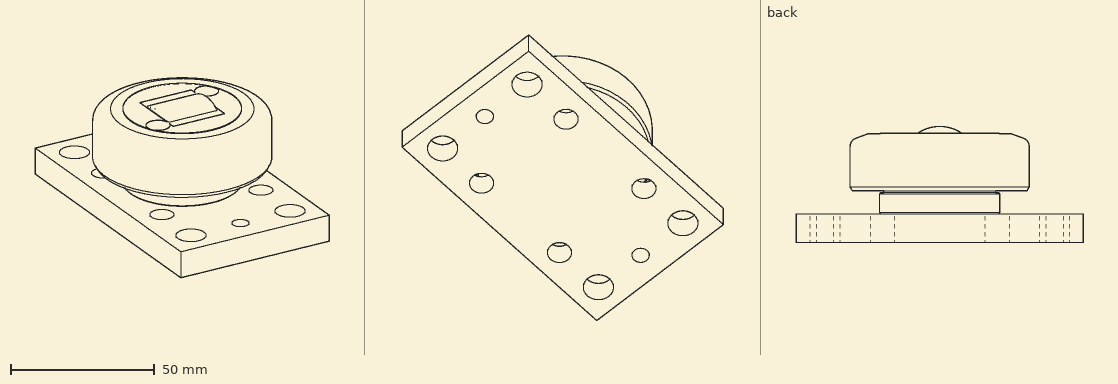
import cadquery as cq
import math

plate_length = 100.0
plate_width = 60.0
plate_thickness = 10.0
hole_spacing_x = 80.0
hole_spacing_y = 40.0
corner_hole_diameter = 10.5
pin_hole_diameter = 6.0
inner_hole_diameter = 8.4
inner_hole_spacing_x = 40.0

collar_diameter = 42.0
collar_top = 17.4
collar_chamfer = 0.4
neck_diameter = 39.0

roller_diameter = 62.5
roller_bottom = 18.0
roller_top = 37.9
roller_bottom_chamfer_height = 1.4
roller_bottom_chamfer_width = 0.8
top_face_radius = 25.0
cone_angle = math.radians(20)
shoulder_radius = 3.1

cap_diameter = 41.4
cap_top = 38.2
recess_depth = 0.1
window_length = 22.9
window_width = 20.8
plug_diameter = 8.4
plug_x = 8.0
plug_y = 14.5

side_roller_radius = 13.5
side_roller_length = 20.2
side_roller_fillet = 0.9
side_roller_top = 40.5


def make_plate():
    plate = cq.Workplane("XY").box(plate_length, plate_width, plate_thickness, centered=(True, True, False))
    hole_groups = [
        (corner_hole_diameter, hole_spacing_x, [-hole_spacing_y / 2, hole_spacing_y / 2]),
        (pin_hole_diameter, hole_spacing_x, [0]),
        (inner_hole_diameter, inner_hole_spacing_x, [-hole_spacing_y / 2, hole_spacing_y / 2]),
    ]
    for diameter, spacing_x, rows in hole_groups:
        centers = [(side * spacing_x / 2, y) for side in (-1, 1) for y in rows]
        plate = plate.faces(">Z").workplane(origin=(0, 0, plate_thickness)).pushPoints(centers).hole(diameter)
    return plate


def make_disc(diameter, bottom, top):
    return cq.Workplane("XY").workplane(offset=bottom).circle(diameter / 2).extrude(top - bottom)


def make_roller():
    radius = roller_diameter / 2
    arc_center_x = radius - shoulder_radius
    cone_end_x = arc_center_x + shoulder_radius * math.sin(cone_angle)
    cone_end_z = roller_top - (cone_end_x - top_face_radius) * math.tan(cone_angle)
    arc_center_z = cone_end_z - shoulder_radius * math.cos(cone_angle)
    mid_angle = (math.pi / 2 - cone_angle) / 2
    arc_middle = (
        arc_center_x + shoulder_radius * math.cos(mid_angle),
        arc_center_z + shoulder_radius * math.sin(mid_angle),
    )
    profile = (
        cq.Workplane("XZ")
        .moveTo(0, roller_bottom)
        .lineTo(radius - roller_bottom_chamfer_width, roller_bottom)
        .lineTo(radius, roller_bottom + roller_bottom_chamfer_height)
        .lineTo(radius, arc_center_z)
        .threePointArc(arc_middle, (cone_end_x, cone_end_z))
        .lineTo(top_face_radius, roller_top)
        .lineTo(0, roller_top)
        .close()
    )
    return profile.revolve(360, (0, 0, 0), (0, 1, 0))


def make_cap():
    cap = make_disc(cap_diameter, roller_top, cap_top)
    recess_floor = cq.Workplane("XY").workplane(offset=cap_top - recess_depth)
    window = recess_floor.rect(window_length, window_width).extrude(recess_depth)
    plug_places = [(-plug_x, plug_y), (plug_x, -plug_y)]
    plugs = recess_floor.pushPoints(plug_places).circle(plug_diameter / 2).extrude(recess_depth)
    return cap.cut(window).cut(plugs)


def make_side_roller():
    return (
        cq.Workplane("XZ")
        .center(0, side_roller_top - side_roller_radius)
        .circle(side_roller_radius)
        .extrude(side_roller_length / 2, both=True)
        .edges()
        .fillet(side_roller_fillet)
        .intersect(make_disc(cap_diameter, roller_bottom, side_roller_top))
    )


collar = make_disc(collar_diameter, plate_thickness, collar_top).edges().chamfer(collar_chamfer)
neck = make_disc(neck_diameter, collar_top, roller_bottom)

result = make_plate().union(collar).union(neck).union(make_roller()).union(make_cap()).union(make_side_roller())